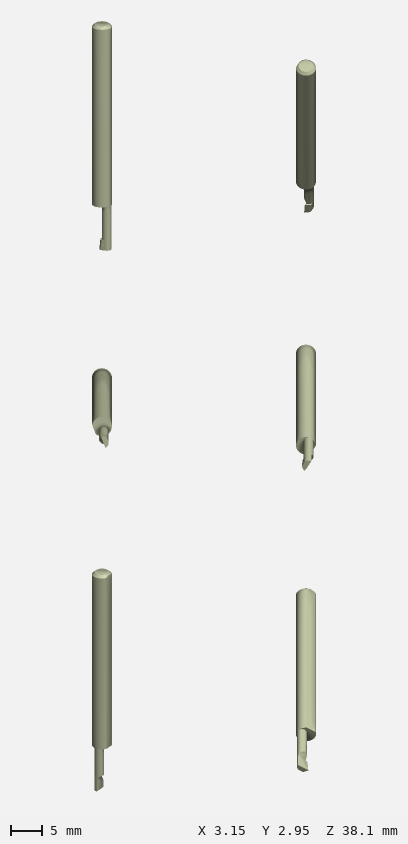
import cadquery as cq

length = 38.1
shank_diameter = 3.15
shank_width = 2.95
end_chamfer = 0.42
neck_length = 7.62
neck_diameter = 1.55

head_height = 1.83
head_lean = 0.2
tip_reach = 0.475
heel_rise = 0.1
tip_width = 0.1
rake_y = 0.05
relief_end = (-0.15, -0.6)
relief_bulge = 0.05
front_corner_x = 0.05
head_front_x = 0.88

runout_start = 2.17
runout_height = 0.7
runout_radius = 2.3

shank_radius = shank_diameter / 2
neck_radius = neck_diameter / 2
neck_x = shank_radius - neck_radius
tip_x = neck_x - neck_radius - tip_reach


def make_shank():
    """Round bar with a chamfered back end and a flat along its +Y side."""
    bar = (
        cq.Workplane("XY")
        .workplane(offset=neck_length)
        .circle(shank_radius)
        .extrude(length - neck_length)
        .faces(">Z")
        .chamfer(end_chamfer)
    )
    flat_y = shank_width - shank_radius
    waste = cq.Workplane("XY").box(
        shank_diameter, shank_diameter, length, centered=(True, False, False)
    )
    return bar.cut(waste.translate((0, flat_y, 0)))


def make_neck():
    """Offset thin bar, tangent inside the +X side of the shank."""
    return cq.Workplane("XY").center(neck_x, 0).circle(neck_radius).extrude(neck_length)


def head_profile(workplane, lean):
    """Adds the head's plan outline, with its outer side moved by lean along +X."""
    relief_x, relief_y = relief_end
    return (
        workplane.moveTo(tip_x + lean, rake_y)
        .sagittaArc((relief_x + lean, relief_y), -relief_bulge)
        .lineTo(front_corner_x + lean, -neck_radius)
        .lineTo(head_front_x, -neck_radius)
        .lineTo(head_front_x, rake_y)
        .close()
    )


def make_head():
    """Cutting head with a curved side relief, a bevel and a leaning outer side."""
    bottom = head_profile(cq.Workplane("XY"), 0)
    return head_profile(bottom.workplane(offset=head_height), head_lean).loft(ruled=True)


def make_rake_cut():
    """Clears the neck on the +Y side of the rake face, running out upwards in an arc."""
    runout_top = runout_start + runout_height
    return (
        cq.Workplane("YZ")
        .moveTo(rake_y, 0)
        .lineTo(rake_y, runout_start)
        .radiusArc((neck_radius, runout_top), runout_radius)
        .lineTo(shank_radius, runout_top)
        .lineTo(shank_radius, 0)
        .close()
        .extrude(shank_radius, both=True)
    )


def make_end_cut():
    """Trims the end square behind the tip, leaving only the pointed corner."""
    return (
        cq.Workplane("XZ")
        .moveTo(tip_x, 0)
        .lineTo(tip_x + tip_width, heel_rise)
        .lineTo(shank_radius, heel_rise)
        .lineTo(shank_radius, 0)
        .close()
        .extrude(shank_radius, both=True)
    )


blade = make_neck().cut(make_rake_cut()).union(make_head()).cut(make_end_cut())
result = make_shank().union(blade)